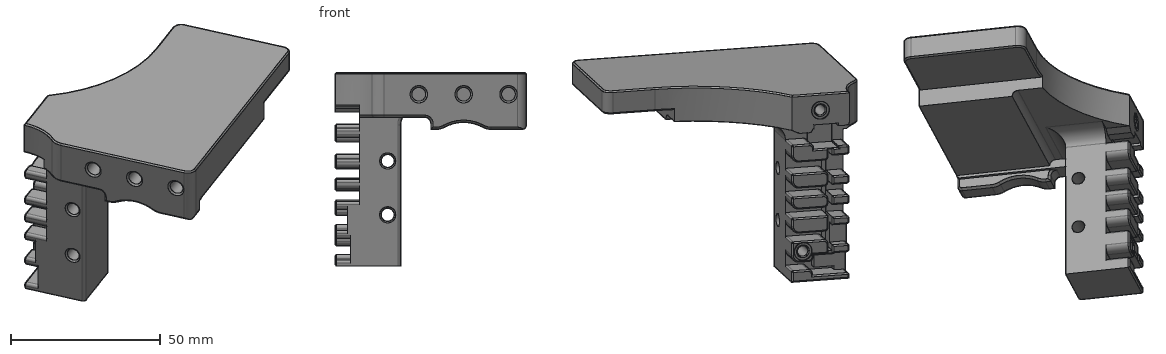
import cadquery as cq
import math

WIDTH = 64.0
DEPTH = 86.0
HEIGHT = 64.75
EDGE_CHAMFER = 0.5
CORNER_RADIUS = 3.0
NECK_X = 22.0
SCOOP_RADIUS = 50.0
NOTCH_RADIUS = 17.0
NOTCH_BLEND_RADIUS = 5.5
UNDERSIDE_Z = HEIGHT - 12.0
REAR_UNDERSIDE_Z = HEIGHT - 8.0
REAR_STEP_Y = 61.75

PAD_LEFT_X = 32.0
PAD_BOTTOM_Z = HEIGHT - 14.0
PAD_COVE_RADIUS = UNDERSIDE_Z - PAD_BOTTOM_Z
LIP_BOTTOM_Z = HEIGHT - 15.0
LIP_CHAMFER = 0.75
BLOCK_BOTTOM_Z = HEIGHT - 19.0
BLOCK_COVE_RADIUS = 2.0
BLOCK_CORNER_RADIUS = 1.5
SADDLE_X = 43.0
SADDLE_TOP_Z = 48.1
SADDLE_HALF_WIDTH = 9.2
SADDLE_BLEND_RADIUS = 6.0

COLUMN_FRONT_Y = 7.0
COLUMN_BACK_Y = 27.0
COLUMN_EDGE_RADIUS = 1.0
COLUMN_ROOT_RADIUS = 5.5
LIP_BACK_Y = COLUMN_FRONT_Y + COLUMN_EDGE_RADIUS
BACK_WALL_X = 8.1
UPPER_STEP_X = 4.1
LOWER_STEP_X = 5.1
UPPER_STEP_TOP_Z = 20.4
LOWER_STEP_TOP_Z = 10.3
TONGUE_BACK_Y = 18.0
TONGUE_BOTTOM_Z = 3.4
TONGUE_TOP_Z = 7.6

SLIT_FRONT_Y = 12.9
SLIT_BACK_Y = 14.4
SLIT_BOTTOM_Z = 10.0
SLIT_TOP_Z = 45.2
SLIT_DEPTH_X = 9.0
FIN_CHAMFER = 0.5
FIN_ROUND = 1.0
FIN_INNER_ROUND = 1.5
FIN_TOE_ROUND = 0.5
FIN_HEEL_RADIUS = 2.5
BOTTOM_FIN_STEP_Y = 19.8

POCKET_SIZE = 8.5
POCKET_FRONT_Y = 10.9
POCKET_BACK_Y = POCKET_FRONT_Y + POCKET_SIZE
POCKET_BOTTOM_Z = 45.6
POCKET_TOP_Z = POCKET_BOTTOM_Z + POCKET_SIZE
POCKET_DEPTH_X = 8.5
GAP_TOP_Z = 53.2
HANGER_BOTTOM_Z = 51.5

FRONT_HOLE_Z = 57.5
FRONT_HOLE_XS = (28.0, 43.0, 58.0)
FRONT_HOLE_RADIUS = 2.3
FRONT_HOLE_RIM_RADIUS = 2.9
FRONT_HOLE_DEPTH = 10.0
COLUMN_HOLE_X = 17.6
COLUMN_HOLE_ZS = (17.2, 35.2)
COLUMN_HOLE_RADIUS = 2.15
COLUMN_HOLE_RIM_RADIUS = 2.7
SIDE_HOLES_YZ = ((17.05, 58.95), (23.1, 10.5))
SIDE_HOLE_RADIUS = 1.8
SIDE_HOLE_RIM_RADIUS = 2.2
SIDE_HOLE_DEPTH = 12.0
SIDE_COUNTERBORE_RADIUS = 3.05
SIDE_COUNTERBORE_DEPTH = 0.4

OVERLAP = 1.0


def box(x0, x1, y0, y1, z0, z1):
    return cq.Workplane("XY").box(x1 - x0, y1 - y0, z1 - z0, centered=False).translate((x0, y0, z0))


def plate_outline():
    """Plan outline of the plate, drawn from the front left corner."""
    scoop_center_x = NECK_X - SCOOP_RADIUS
    scoop_end_y = COLUMN_BACK_Y + math.sqrt(SCOOP_RADIUS**2 - scoop_center_x**2)
    half_angle = math.atan2(COLUMN_BACK_Y - scoop_end_y, -scoop_center_x) / 2
    scoop_mid = (
        scoop_center_x + SCOOP_RADIUS * math.cos(half_angle),
        scoop_end_y + SCOOP_RADIUS * math.sin(half_angle),
    )
    notch_center_y = COLUMN_FRONT_Y - NOTCH_RADIUS
    centers = NOTCH_RADIUS + NOTCH_BLEND_RADIUS
    rise = NOTCH_BLEND_RADIUS - notch_center_y
    blend_x = math.sqrt(centers**2 - rise**2)
    sweep = math.asin(blend_x / centers)

    def on_notch(angle):
        return (NOTCH_RADIUS * math.sin(angle), notch_center_y + NOTCH_RADIUS * math.cos(angle))

    blend_mid = (
        blend_x - NOTCH_BLEND_RADIUS * math.sin(sweep / 2),
        NOTCH_BLEND_RADIUS * (1 - math.cos(sweep / 2)),
    )
    return (
        cq.Workplane("XY")
        .moveTo(0, COLUMN_FRONT_Y)
        .threePointArc(on_notch(sweep / 2), on_notch(sweep))
        .threePointArc(blend_mid, (blend_x, 0))
        .lineTo(WIDTH, 0)
        .lineTo(WIDTH, DEPTH)
        .lineTo(NECK_X, DEPTH)
        .lineTo(NECK_X, scoop_end_y)
        .threePointArc(scoop_mid, (0, COLUMN_BACK_Y))
        .close()
    )


def plate_body(bottom_z):
    """Plate outline from bottom_z up to the top face, with its square corners rounded."""
    body = plate_outline().extrude(HEIGHT - bottom_z).translate((0, 0, bottom_z))
    right_corners = body.edges("|Z and >X").fillet(CORNER_RADIUS)
    return right_corners.edges(cq.selectors.BoxSelector(
        (NECK_X - OVERLAP, DEPTH - OVERLAP, 0), (NECK_X + OVERLAP, DEPTH + OVERLAP, HEIGHT)
    )).fillet(CORNER_RADIUS)


def saddle_profile():
    """Front profile of the block, with a cove on its left and a hollow in its bottom."""
    rise = SADDLE_TOP_Z - BLOCK_BOTTOM_Z
    angle = 2 * math.atan2(rise, SADDLE_HALF_WIDTH)
    hollow_radius = SADDLE_HALF_WIDTH / math.sin(angle) - SADDLE_BLEND_RADIUS
    turn_x = hollow_radius * math.sin(angle)
    turn_z = SADDLE_TOP_Z - hollow_radius * (1 - math.cos(angle))
    blend_dx = SADDLE_HALF_WIDTH - SADDLE_BLEND_RADIUS * math.sin(angle / 2)
    blend_z = BLOCK_BOTTOM_Z + SADDLE_BLEND_RADIUS * (1 - math.cos(angle / 2))
    cove = BLOCK_COVE_RADIUS
    diagonal = cove * math.sqrt(0.5)
    return (
        cq.Workplane("XZ")
        .moveTo(PAD_LEFT_X - cove, UNDERSIDE_Z)
        .lineTo(PAD_LEFT_X - cove, LIP_BOTTOM_Z)
        .threePointArc(
            (PAD_LEFT_X - cove + diagonal, LIP_BOTTOM_Z - cove + diagonal),
            (PAD_LEFT_X, LIP_BOTTOM_Z - cove),
        )
        .lineTo(PAD_LEFT_X, BLOCK_BOTTOM_Z)
        .lineTo(SADDLE_X - SADDLE_HALF_WIDTH, BLOCK_BOTTOM_Z)
        .threePointArc((SADDLE_X - blend_dx, blend_z), (SADDLE_X - turn_x, turn_z))
        .threePointArc((SADDLE_X, SADDLE_TOP_Z), (SADDLE_X + turn_x, turn_z))
        .threePointArc((SADDLE_X + blend_dx, blend_z), (SADDLE_X + SADDLE_HALF_WIDTH, BLOCK_BOTTOM_Z))
        .lineTo(WIDTH - BLOCK_CORNER_RADIUS, BLOCK_BOTTOM_Z)
        .radiusArc((WIDTH, BLOCK_BOTTOM_Z + BLOCK_CORNER_RADIUS), -BLOCK_CORNER_RADIUS)
        .lineTo(WIDTH, UNDERSIDE_Z)
        .close()
    )


def front_lip():
    """Lip along the front edge of the plate, chamfered along the outline."""
    lip = plate_body(LIP_BOTTOM_Z).faces("<Z").edges().chamfer(LIP_CHAMFER)
    return lip.intersect(box(0, WIDTH, 0, LIP_BACK_Y, LIP_BOTTOM_Z, UNDERSIDE_Z))


def front_block():
    """Block below the right end of the lip, with chamfered front and back edges."""
    block = saddle_profile().extrude(-COLUMN_FRONT_Y)
    block = block.faces("<Y or >Y").edges("not(>Z or <X)").chamfer(LIP_CHAMFER)
    return block.intersect(plate_body(BLOCK_BOTTOM_Z))


def rear_pad():
    """Pad behind the lip, its left side a cove rising to the underside."""
    pad = box(PAD_LEFT_X - PAD_COVE_RADIUS, WIDTH, 0, REAR_STEP_Y, PAD_BOTTOM_Z, UNDERSIDE_Z)
    cove = (
        cq.Workplane("XZ")
        .center(PAD_LEFT_X - PAD_COVE_RADIUS, PAD_BOTTOM_Z)
        .circle(PAD_COVE_RADIUS)
        .extrude(-DEPTH)
    )
    pad = pad.cut(cove.translate((0, COLUMN_FRONT_Y, 0)))
    return pad.intersect(plate_body(PAD_BOTTOM_Z))


def plate_with_column():
    """Main plate, thinner behind the rear step, with the column rounded into its underside."""
    plate = plate_body(UNDERSIDE_Z)
    rear_cut = box(-OVERLAP, WIDTH + OVERLAP, REAR_STEP_Y, DEPTH + OVERLAP, 0, REAR_UNDERSIDE_Z)
    plate = plate.cut(rear_cut).faces(">Z").edges().chamfer(EDGE_CHAMFER)
    rear_edges = plate.faces(cq.selectors.BoxSelector(
        (NECK_X, REAR_STEP_Y, REAR_UNDERSIDE_Z - OVERLAP), (WIDTH, DEPTH, REAR_UNDERSIDE_Z + OVERLAP)
    )).edges("not <Y")
    plate = rear_edges.chamfer(EDGE_CHAMFER)
    column = box(BACK_WALL_X, NECK_X, COLUMN_FRONT_Y, COLUMN_BACK_Y, 0, UNDERSIDE_Z)
    body = plate.union(column)
    root = cq.selectors.BoxSelector(
        (BACK_WALL_X - OVERLAP, COLUMN_FRONT_Y + OVERLAP / 2, UNDERSIDE_Z - OVERLAP / 2),
        (NECK_X + OVERLAP, COLUMN_BACK_Y + OVERLAP, UNDERSIDE_Z + OVERLAP / 2),
    )
    body = body.edges(root).edges(">Y or >X").fillet(COLUMN_ROOT_RADIUS)
    front_edge = cq.selectors.BoxSelector(
        (NECK_X - OVERLAP, COLUMN_FRONT_Y - OVERLAP, 0),
        (NECK_X + OVERLAP, COLUMN_FRONT_Y + OVERLAP, UNDERSIDE_Z - COLUMN_ROOT_RADIUS),
    )
    return body.edges(front_edge).fillet(COLUMN_EDGE_RADIUS)


def fin(points, rounds=(), depth=BACK_WALL_X):
    """Fin from (Y, Z) corner points; rounds lists (Y, Z, radius) for the rounded corners."""
    body = cq.Workplane("YZ").polyline(points).close().extrude(depth + OVERLAP)
    for y, z, radius in rounds:
        reach = 0.01
        corner = cq.selectors.BoxSelector(
            (-OVERLAP, y - reach, z - reach), (depth + 2 * OVERLAP, y + reach, z + reach)
        )
        body = body.edges(corner).fillet(radius)
    return body.faces("<X").edges().chamfer(FIN_CHAMFER)


def back_fin(bottom_z, top_z, inner_rounds):
    """Plain back fin with a rounded heel; inner_rounds lists (Z, radius) of the corners beside the slit."""
    points = [
        (SLIT_BACK_Y, bottom_z), (COLUMN_BACK_Y, bottom_z),
        (COLUMN_BACK_Y, top_z), (SLIT_BACK_Y, top_z),
    ]
    rounds = [(COLUMN_BACK_Y, bottom_z, FIN_HEEL_RADIUS), (COLUMN_BACK_Y, top_z, FIN_TOE_ROUND)]
    rounds += [(SLIT_BACK_Y, z, radius) for z, radius in inner_rounds]
    return fin(points, rounds)


def front_fin(bottom_z, top_z):
    """Plain front fin with both front corners rounded."""
    points = [
        (COLUMN_FRONT_Y, bottom_z), (SLIT_FRONT_Y, bottom_z),
        (SLIT_FRONT_Y, top_z), (COLUMN_FRONT_Y, top_z),
    ]
    return fin(points, [(COLUMN_FRONT_Y, z, FIN_ROUND) for z in (bottom_z, top_z)])


def top_fins():
    """Pair of fins under the square pocket, joined by a thin web above the slit."""
    back_bottom = 41.5
    back_top = 47.5
    front_bottom = 43.0
    front_top = 46.2
    back = fin(
        [
            (SLIT_BACK_Y, back_bottom), (COLUMN_BACK_Y, back_bottom), (COLUMN_BACK_Y, back_top),
            (POCKET_BACK_Y, back_top), (POCKET_BACK_Y, POCKET_BOTTOM_Z), (SLIT_BACK_Y, POCKET_BOTTOM_Z),
        ],
        [
            (COLUMN_BACK_Y, back_bottom, FIN_HEEL_RADIUS), (COLUMN_BACK_Y, back_top, FIN_TOE_ROUND),
            (POCKET_BACK_Y, back_top, FIN_INNER_ROUND), (SLIT_BACK_Y, back_bottom, FIN_ROUND),
        ],
    )
    front = fin(
        [
            (COLUMN_FRONT_Y, front_bottom), (SLIT_FRONT_Y, front_bottom), (SLIT_FRONT_Y, POCKET_BOTTOM_Z),
            (POCKET_FRONT_Y, POCKET_BOTTOM_Z), (POCKET_FRONT_Y, front_top), (COLUMN_FRONT_Y, front_top),
        ],
        [(COLUMN_FRONT_Y, z, FIN_ROUND) for z in (front_bottom, front_top)],
    )
    web = box(FIN_CHAMFER, BACK_WALL_X, SLIT_FRONT_Y, SLIT_BACK_Y, SLIT_TOP_Z, POCKET_BOTTOM_Z)
    return back.union(front).union(web)


def screw_fins():
    """Pair of fins around the lower side hole, joined by a web below the slit."""
    bottom_z = 9.2
    back_top = 14.0
    front_top = 12.0
    boss_front_y = 19.6
    boss_bottom = 6.8
    back = fin(
        [
            (SLIT_BACK_Y, bottom_z), (boss_front_y, bottom_z), (boss_front_y, boss_bottom),
            (COLUMN_BACK_Y, boss_bottom), (COLUMN_BACK_Y, back_top), (SLIT_BACK_Y, back_top),
        ],
        [
            (COLUMN_BACK_Y, boss_bottom, FIN_HEEL_RADIUS), (COLUMN_BACK_Y, back_top, FIN_TOE_ROUND),
            (SLIT_BACK_Y, back_top, FIN_INNER_ROUND), (boss_front_y, boss_bottom, FIN_INNER_ROUND),
        ],
    )
    web = box(FIN_CHAMFER, BACK_WALL_X, SLIT_FRONT_Y, SLIT_BACK_Y, bottom_z, SLIT_BOTTOM_Z)
    return back.union(front_fin(bottom_z, front_top)).union(web)


def bottom_fin():
    """Lowest fin, stepped down toward the front."""
    high_z = 4.0
    low_z = 2.0
    return fin(
        [
            (COLUMN_FRONT_Y, 0), (COLUMN_BACK_Y, 0), (COLUMN_BACK_Y, high_z),
            (BOTTOM_FIN_STEP_Y, high_z), (BOTTOM_FIN_STEP_Y, low_z), (COLUMN_FRONT_Y, low_z),
        ],
        [
            (COLUMN_BACK_Y, high_z, FIN_TOE_ROUND), (BOTTOM_FIN_STEP_Y, high_z, FIN_INNER_ROUND),
            (COLUMN_FRONT_Y, low_z, FIN_ROUND),
        ],
    )


def hanger():
    """Tooth hanging from the plate above the top back fin."""
    points = [
        (POCKET_BACK_Y, GAP_TOP_Z), (POCKET_BACK_Y + FIN_ROUND, HANGER_BOTTOM_Z),
        (COLUMN_BACK_Y - FIN_HEEL_RADIUS, HANGER_BOTTOM_Z), (COLUMN_BACK_Y, UNDERSIDE_Z),
        (COLUMN_BACK_Y, GAP_TOP_Z),
    ]
    return cq.Workplane("YZ").polyline(points).close().extrude(BACK_WALL_X)


def wall_steps():
    """Shallower walls behind the lower front fins, with a tongue reaching back."""
    upper = box(UPPER_STEP_X, BACK_WALL_X, COLUMN_FRONT_Y, SLIT_FRONT_Y, LOWER_STEP_TOP_Z, UPPER_STEP_TOP_Z)
    lower = box(LOWER_STEP_X, BACK_WALL_X, COLUMN_FRONT_Y, POCKET_FRONT_Y, 0, LOWER_STEP_TOP_Z)
    tongue = box(LOWER_STEP_X, BACK_WALL_X, COLUMN_FRONT_Y, TONGUE_BACK_Y, TONGUE_BOTTOM_Z, TONGUE_TOP_Z)
    return upper.union(lower).union(tongue)


def fin_gap():
    """Space between the plate and the top fins, open to the left and the front."""
    return box(-OVERLAP, BACK_WALL_X, -OVERLAP, POCKET_BACK_Y, 0, GAP_TOP_Z)


def chamfer_gap_roof(body):
    """Chamfer the hollow corner of the plate where it meets the roof of the gap."""
    roof_edge = cq.selectors.BoxSelector(
        (-OVERLAP, 0, GAP_TOP_Z - OVERLAP / 2),
        (BACK_WALL_X + OVERLAP, COLUMN_FRONT_Y + OVERLAP, GAP_TOP_Z + OVERLAP / 2),
        boundingbox=True,
    )
    return body.edges(roof_edge).chamfer(LIP_CHAMFER)


def hole(radius, rim_radius, depth):
    """Bore along +Z from the origin with a 45 degree rim."""
    rim = rim_radius - radius
    return (
        cq.Workplane("XZ")
        .polyline([(0, 0), (rim_radius, 0), (radius, rim), (radius, depth), (0, depth)])
        .close()
        .revolve(360, (0, 0, 0), (0, 1, 0))
    )


def front_holes():
    """Blind holes in the plate front and through holes in the column, all along Y."""
    cuts = cq.Workplane("XY")
    blind = hole(FRONT_HOLE_RADIUS, FRONT_HOLE_RIM_RADIUS, FRONT_HOLE_DEPTH)
    through = hole(COLUMN_HOLE_RADIUS, COLUMN_HOLE_RIM_RADIUS, COLUMN_BACK_Y)
    for x in FRONT_HOLE_XS:
        cuts = cuts.add(blind.rotate((0, 0, 0), (1, 0, 0), -90).translate((x, 0, FRONT_HOLE_Z)))
    for z in COLUMN_HOLE_ZS:
        cuts = cuts.add(
            through.rotate((0, 0, 0), (1, 0, 0), -90).translate((COLUMN_HOLE_X, COLUMN_FRONT_Y, z))
        )
    return cuts.combine()


def side_holes():
    """Counterbored blind holes entering from the left face along X."""
    bore = hole(SIDE_HOLE_RADIUS, SIDE_HOLE_RIM_RADIUS, SIDE_HOLE_DEPTH)
    bore = bore.translate((0, 0, SIDE_COUNTERBORE_DEPTH))
    bore = bore.union(cq.Workplane("XY").circle(SIDE_COUNTERBORE_RADIUS).extrude(SIDE_COUNTERBORE_DEPTH))
    bore = bore.rotate((0, 0, 0), (0, 1, 0), 90)
    (y0, z0), (y1, z1) = SIDE_HOLES_YZ
    return bore.translate((0, y0, z0)).union(bore.translate((0, y1, z1)))


body = plate_with_column().union(rear_pad())
body = body.union(front_lip()).union(front_block())
body = chamfer_gap_roof(body.cut(fin_gap()))
body = body.union(hanger())

for bottom, top in ((32.5, 37.5), (25.2, 29.5)):
    body = body.union(back_fin(bottom, top, [(z, FIN_INNER_ROUND) for z in (bottom, top)]))

square_fin_bottom = 16.9
square_fin_top = 22.2
body = body.union(back_fin(square_fin_bottom, square_fin_top, [(square_fin_bottom, FIN_ROUND)]))

for bottom, top in ((32.9, 35.9), (25.9, 29.0), (18.9, 21.6)):
    body = body.union(front_fin(bottom, top))

body = body.union(top_fins()).union(screw_fins()).union(bottom_fin()).union(wall_steps())

slit = box(0, SLIT_DEPTH_X, SLIT_FRONT_Y, SLIT_BACK_Y, SLIT_BOTTOM_Z, SLIT_TOP_Z)
pocket = box(-OVERLAP, POCKET_DEPTH_X, POCKET_FRONT_Y, POCKET_BACK_Y, POCKET_BOTTOM_Z, POCKET_TOP_Z)
result = body.cut(slit).cut(pocket).cut(front_holes()).cut(side_holes())